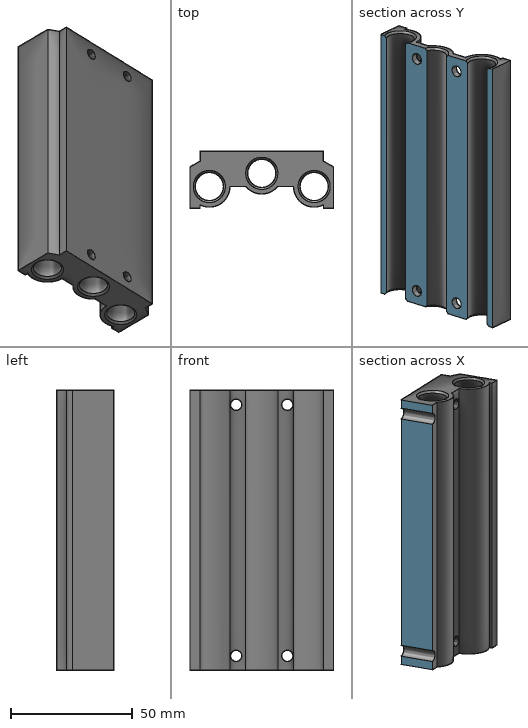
import cadquery as cq
import math

WIDTH = 59.0
DEPTH = 23.5
LENGTH = 115.0

RAIL_WIDTH = 4.25
SHOULDER_DEPTH = 4.0
SHOULDER_SLOPE = math.radians(30)
FLOOR_Y = -14.5

BOSS_RADIUS = 8.5
BORE_DIAMETER = 11.45
BORE_MOUTH_DIAMETER = 13.2
OUTER_BORE_X = 21.5
OUTER_BORE_Y = -14.5
MIDDLE_BORE_Y = -9.1
BORE_CENTERS = [
    (-OUTER_BORE_X, OUTER_BORE_Y),
    (0.0, MIDDLE_BORE_Y),
    (OUTER_BORE_X, OUTER_BORE_Y),
]

MOUNT_HOLE_DIAMETER = 4.5
MOUNT_HOLE_X = 10.5
MOUNT_HOLE_END_DISTANCE = 6.0


def make_web():
    """Plate between the back face and the floor, with sloped shoulders beside the back face."""
    half_width = WIDTH / 2
    back_half_width = half_width - RAIL_WIDTH
    slope_end_y = -SHOULDER_DEPTH - RAIL_WIDTH * math.tan(SHOULDER_SLOPE)
    outline = [
        (-back_half_width, 0),
        (back_half_width, 0),
        (back_half_width, -SHOULDER_DEPTH),
        (half_width, slope_end_y),
        (half_width, FLOOR_Y),
        (-half_width, FLOOR_Y),
        (-half_width, slope_end_y),
        (-back_half_width, -SHOULDER_DEPTH),
    ]
    return cq.Workplane("XY").polyline(outline).close().extrude(LENGTH)


def make_rails():
    """Two feet along the side edges, reaching forward from the floor to the front."""
    rail_length_y = DEPTH + FLOOR_Y
    rail_x = (WIDTH - RAIL_WIDTH) / 2
    rail_y = FLOOR_Y - rail_length_y / 2
    return (
        cq.Workplane("XY")
        .pushPoints([(-rail_x, rail_y), (rail_x, rail_y)])
        .rect(RAIL_WIDTH, rail_length_y)
        .extrude(LENGTH)
    )


def make_bosses():
    """Round bosses around the bores, kept within the body width and in front of the back face."""
    bosses = cq.Workplane("XY").pushPoints(BORE_CENTERS).circle(BOSS_RADIUS).extrude(LENGTH)
    envelope = cq.Workplane("XY").box(WIDTH, DEPTH, LENGTH, centered=(True, True, False))
    return bosses.intersect(envelope.translate((0, -DEPTH / 2, 0)))


def make_bore(center):
    """Through bore with a 45 degree countersunk mouth at both ends."""
    bore_radius = BORE_DIAMETER / 2
    mouth_radius = BORE_MOUTH_DIAMETER / 2
    mouth_depth = mouth_radius - bore_radius
    half_profile = [
        (0, 0),
        (mouth_radius, 0),
        (bore_radius, mouth_depth),
        (bore_radius, LENGTH - mouth_depth),
        (mouth_radius, LENGTH),
        (0, LENGTH),
    ]
    bore = cq.Workplane("XZ").polyline(half_profile).close().revolve(360, (0, 0), (0, 1))
    return bore.translate((center[0], center[1], 0))


def make_mounting_holes():
    """Four round holes through the web, near both ends."""
    hole_z_positions = (MOUNT_HOLE_END_DISTANCE, LENGTH - MOUNT_HOLE_END_DISTANCE)
    hole_points = [(x, z) for x in (-MOUNT_HOLE_X, MOUNT_HOLE_X) for z in hole_z_positions]
    return (
        cq.Workplane("XZ")
        .pushPoints(hole_points)
        .circle(MOUNT_HOLE_DIAMETER / 2)
        .extrude(DEPTH)
    )


result = make_web().union(make_rails()).union(make_bosses())
for bore_center in BORE_CENTERS:
    result = result.cut(make_bore(bore_center))
result = result.cut(make_mounting_holes())